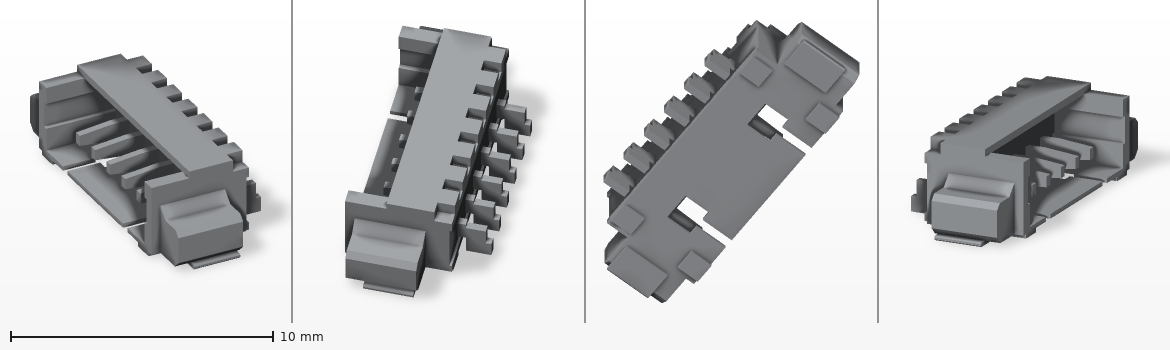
import cadquery as cq


total_width = 12.25
total_height = 3.4

pin_count = 6
pitch = 1.25
pin_width = 0.31
pin_positions = [(i - (pin_count - 1) / 2) * pitch for i in range(pin_count)]

body_width = 9.25
half_body = body_width / 2
standoff = 0.18
body_depth = 4.19
roof_front_y = 1.63
roof_thickness = 0.3
roof_underside_z = total_height - roof_thickness

rear_recess_depth = 0.1
rear_recess_bottom_z = 0.51
rear_recess_top_z = 2.5
rear_face_y = body_depth - rear_recess_depth

cavity_depth = 3.0
cavity_width = 8.08
cavity_floor_z = 0.37
groove_width = 8.48
groove_bottom_z = 1.32
groove_top_z = 2.41

floor_slot_x = 2.47
floor_slot_width = 0.39
floor_slot_head_width = 1.18
floor_slot_step_y = 1.4
floor_slot_end_y = 2.55

notch_width = 0.51
notch_length = 0.69
notch_depth = 0.5

foot_inner_x = 3.54
foot_outer_x = 4.39
front_foot_length = 0.95
rear_foot_length = 0.95

half_width = total_width / 2
ear_front_y = 0.38
ear_rear_y = 3.16
ear_top_z = 1.8
ear_top_chamfer = 0.23
ear_bottom_chamfer = 0.3
ear_ramp_width = 0.44
pad_front_y = 1.07
pad_rear_y = 3.04
pad_width = 1.22
pad_edge_chamfer = 0.05

pin_bottom_z = 0.74
pin_top_z = 1.47
pin_tip_y = 0.88
pin_taper_y = 2.34
pin_tip_inset = 0.15
tail_y = 4.41
tail_top_z = 1.29
tail_toe_y = 5.2
tail_toe_z = 0.62
tail_end_y = 5.41


def box(x_range, y_range, z_range):
    """Axis-aligned block between pairs of coordinates."""
    (x0, x1), (y0, y1), (z0, z1) = x_range, y_range, z_range
    return cq.Workplane("XY").box(x1 - x0, y1 - y0, z1 - z0, centered=False).translate((x0, y0, z0))


def centred_box(x_centre, width, y_range, z_range):
    """Block of a given width, centred on one X position."""
    return box((x_centre - width / 2, x_centre + width / 2), y_range, z_range)


def with_mirror(shape):
    """Shape together with its mirror image across the middle of the row."""
    return shape.union(shape.mirror("YZ"))


def housing():
    profile = [
        (0, standoff),
        (body_depth, standoff),
        (body_depth, rear_recess_bottom_z),
        (rear_face_y, rear_recess_bottom_z),
        (rear_face_y, rear_recess_top_z),
        (body_depth, rear_recess_top_z),
        (body_depth, total_height),
        (roof_front_y, total_height),
        (roof_front_y, roof_underside_z),
        (0, roof_underside_z),
    ]
    body = cq.Workplane("YZ").polyline(profile).close().extrude(half_body, both=True)
    cavity = centred_box(0, cavity_width, (0, cavity_depth), (cavity_floor_z, roof_underside_z))
    grooves = centred_box(0, groove_width, (0, cavity_depth), (groove_bottom_z, groove_top_z))
    return body.cut(cavity).cut(grooves)


def floor_slots():
    floor = (standoff, cavity_floor_z)
    mouth = centred_box(floor_slot_x, floor_slot_width, (0, floor_slot_step_y), floor)
    head = centred_box(floor_slot_x, floor_slot_head_width, (floor_slot_step_y, floor_slot_end_y), floor)
    return with_mirror(mouth.union(head))


def rear_notches():
    y_range = (body_depth - notch_length, body_depth)
    z_range = (total_height - notch_depth, total_height)
    notches = with_mirror(box((half_body - notch_width, half_body), y_range, z_range))
    for x in pin_positions:
        notches = notches.union(centred_box(x, notch_width, y_range, z_range))
    return notches


def feet():
    x_range = (foot_inner_x, foot_outer_x)
    z_range = (0, cavity_floor_z)
    front = box(x_range, (0, front_foot_length), z_range)
    rear = box(x_range, (body_depth - rear_foot_length, body_depth), z_range)
    return with_mirror(front.union(rear))


def ears():
    profile = [
        (half_body, standoff),
        (half_width - ear_bottom_chamfer, standoff),
        (half_width, standoff + ear_bottom_chamfer),
        (half_width, ear_top_z - ear_top_chamfer),
        (half_width - ear_top_chamfer, ear_top_z),
        (half_body + ear_ramp_width, ear_top_z),
        (half_body, ear_top_z + ear_ramp_width),
    ]
    ear = (
        cq.Workplane("XZ", origin=(0, ear_rear_y, 0))
        .polyline(profile)
        .close()
        .extrude(ear_rear_y - ear_front_y)
    )
    pad = box((half_width - pad_width, half_width), (pad_front_y, pad_rear_y), (0, standoff))
    pad = pad.faces(">X").edges("|Y").chamfer(pad_edge_chamfer)
    return with_mirror(ear.union(pad))


def pin(x):
    profile = [
        (pin_tip_y, pin_bottom_z + pin_tip_inset),
        (pin_taper_y, pin_bottom_z),
        (tail_y, pin_bottom_z),
        (tail_y, 0),
        (tail_end_y, 0),
        (tail_end_y, tail_toe_z),
        (tail_toe_y, tail_toe_z),
        (tail_toe_y, tail_top_z),
        (tail_y, tail_top_z),
        (tail_y, pin_top_z),
        (pin_taper_y, pin_top_z),
        (pin_tip_y, pin_top_z - pin_tip_inset),
    ]
    return cq.Workplane("YZ", origin=(x, 0, 0)).polyline(profile).close().extrude(pin_width / 2, both=True)


result = housing().cut(floor_slots()).cut(rear_notches()).union(feet()).union(ears())
for pin_x in pin_positions:
    result = result.union(pin(pin_x))